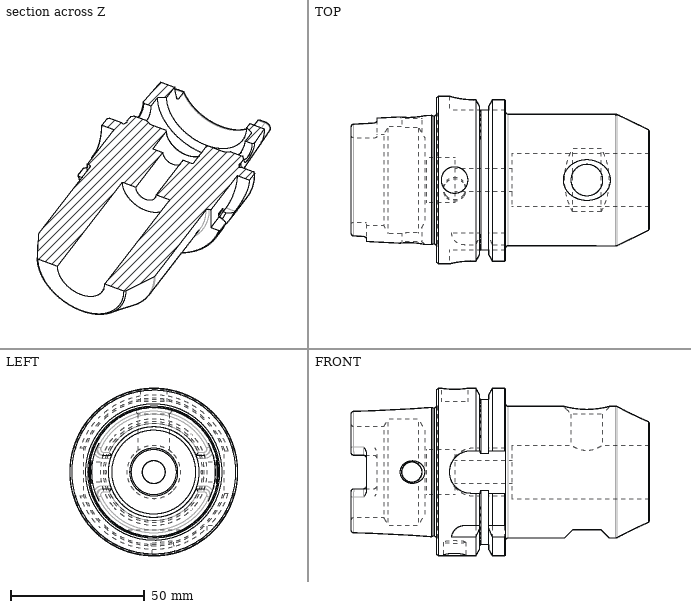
import cadquery as cq
import math

OVERCUT = 1.1
SEARCH_MARGIN = 0.1

LENGTH = 112.0
FLANGE_START = 32.0
FLANGE_END = 58.0

TAPER_END_X = 30.1
TAPER_END_DIA = 48.6
TAPER_SLOPE = 0.05
TAPER_EDGE_RADIUS = 1.1
RELIEF_DIA = 48.2
RELIEF_START_X = 30.8
RELIEF_END_X = 31.4
FACE_RECESS_DIA = 51.2
FACE_RECESS_ROOT_DIA = 49.5
FACE_RECESS_DEPTH = 0.5

FLANGE_DIA = 63.0
FLANGE_FRONT_CHAMFER = 0.73
FLANGE_BACK_CHAMFER = 0.3
GROOVE_FLOOR_RADIUS = 27.2
GROOVE_FLOOR_START = 48.3
GROOVE_FLOOR_END = 51.6
GROOVE_FLANK_RADIUS = 29.0
GROOVE_FLANK_ANGLE = 30.0
GROOVE_ROOT_FILLET = 0.6

SHANK_DIA = 49.5
SHANK_ROOT_FILLET = 0.9
NOSE_START = 99.6
NOSE_END_X = 111.5
NOSE_END_RADIUS = 18.9
NOSE_FACE_RADIUS = 18.3
NOSE_BLEND_RADIUS = 1.5

BORE_DIA = 34.0
BORE_MOUTH_RADIUS = 1.2
CLAMP_SHOULDER_X = 12.3
CLAMP_RECESS_DIA = 40.0
CLAMP_SHOULDER_LENGTH = 1.7
CLAMP_RECESS_END_X = 25.3
BORE_FLOOR_X = 27.8
BORE_FLOOR_DIA = 31.5
TUBE_SEAT_DIA = 16.9
TUBE_SEAT_MOUTH_DIA = 18.0
TUBE_SEAT_DEPTH = 11.2
COOLANT_DIA = 8.5
TOOL_BORE_DIA = 20.0
TOOL_BORE_DEPTH = 51.5

END_SLOT_WIDTH = 12.5
END_SLOTS = ((-1, 5.8), (1, 9.7))
END_SLOT_FLARE_RADIUS = 2.2
END_SLOT_FLOOR_FILLET = 1.1

ACCESS_X = 22.8
ACCESS_DIA = 7.5
ACCESS_MOUTH_DIA = 10.0
ACCESS_CONE_START = 23.1

KEYWAY_END_X = 37.0
KEYWAYS = ((-1, 15.9), (1, 18.0))
KEYWAY_FLOOR_Y = 26.3
NOTCH_END_X = 37.6
NOTCH_WIDTH = 10.1
NOTCH_Z = -25.1
NOTCH_FLOOR_Y = 19.9

POCKET_X = 38.9
POCKET_DEPTH = 5.0
RIM_POCKETS = ((10.0, 0), (8.4, 173.2))

SCREW_X = 88.5
SCREW_DIA = 11.9
SCREW_MOUTH_DIA = 18.5
SCREW_CONE_START = 21.8
FLAT_WIDTH = 10.8
FLAT_Z = -21.7

flange_radius = FLANGE_DIA / 2
shank_radius = SHANK_DIA / 2
relief_radius = RELIEF_DIA / 2
taper_large_radius = TAPER_END_DIA / 2
taper_small_radius = taper_large_radius - TAPER_SLOPE * TAPER_END_X


def revolve_about_x(profile):
    return profile.close().revolve(360, (0, 0, 0), (1, 0, 0))


def make_body():
    """Solid outer shape: taper, grooved flange, shank and conical nose."""
    flank_length = (flange_radius - GROOVE_FLANK_RADIUS) * math.tan(math.radians(GROOVE_FLANK_ANGLE))
    body = revolve_about_x(
        cq.Workplane("XY")
        .moveTo(0, 0)
        .lineTo(0, taper_small_radius)
        .lineTo(TAPER_END_X, taper_large_radius)
        .lineTo(RELIEF_START_X, relief_radius)
        .lineTo(RELIEF_END_X, relief_radius)
        .lineTo(FLANGE_START + FACE_RECESS_DEPTH, FACE_RECESS_ROOT_DIA / 2)
        .lineTo(FLANGE_START, FACE_RECESS_DIA / 2)
        .lineTo(FLANGE_START, flange_radius - FLANGE_FRONT_CHAMFER)
        .lineTo(FLANGE_START + FLANGE_FRONT_CHAMFER, flange_radius)
        .lineTo(GROOVE_FLOOR_START - flank_length, flange_radius)
        .lineTo(GROOVE_FLOOR_START, GROOVE_FLANK_RADIUS)
        .lineTo(GROOVE_FLOOR_START, GROOVE_FLOOR_RADIUS + GROOVE_ROOT_FILLET)
        .radiusArc((GROOVE_FLOOR_START + GROOVE_ROOT_FILLET, GROOVE_FLOOR_RADIUS), -GROOVE_ROOT_FILLET)
        .lineTo(GROOVE_FLOOR_END, GROOVE_FLOOR_RADIUS)
        .lineTo(GROOVE_FLOOR_END, GROOVE_FLANK_RADIUS)
        .lineTo(GROOVE_FLOOR_END + flank_length, flange_radius)
        .lineTo(FLANGE_END - FLANGE_BACK_CHAMFER, flange_radius)
        .lineTo(FLANGE_END, flange_radius - FLANGE_BACK_CHAMFER)
        .lineTo(FLANGE_END, shank_radius + SHANK_ROOT_FILLET)
        .radiusArc((FLANGE_END + SHANK_ROOT_FILLET, shank_radius), -SHANK_ROOT_FILLET)
        .lineTo(NOSE_START, shank_radius)
        .lineTo(NOSE_END_X, NOSE_END_RADIUS)
        .lineTo(LENGTH, NOSE_FACE_RADIUS)
        .lineTo(LENGTH, 0)
    )
    nose_edge = cq.selectors.BoxSelector(
        (NOSE_START - SEARCH_MARGIN, -LENGTH, -LENGTH),
        (NOSE_START + SEARCH_MARGIN, LENGTH, LENGTH),
        boundingbox=True,
    )
    return body.edges(nose_edge).fillet(NOSE_BLEND_RADIUS)


def edges_within(x_range, y_range, half_z):
    """Selector for the edges whose middle lies in the given box."""
    y_min, y_max = sorted(y_range)
    return cq.selectors.BoxSelector((x_range[0], y_min, -half_z), (x_range[1], y_max, half_z))


def cut_end_slots(body):
    """Two drive slots with flared outer corners, then the rounded rim of the taper end."""
    half_z = END_SLOT_WIDTH / 2 + SEARCH_MARGIN
    for side, depth in END_SLOTS:
        slot = (
            cq.Workplane("XY")
            .box(2 * depth, flange_radius, END_SLOT_WIDTH)
            .translate((0, side * flange_radius / 2, 0))
        )
        body = body.cut(slot)
    for side, depth in END_SLOTS:
        wall_x = (SEARCH_MARGIN, depth - SEARCH_MARGIN)
        wall_edges = edges_within(wall_x, (side * BORE_DIA / 2, side * flange_radius), half_z)
        body = body.edges(wall_edges).fillet(END_SLOT_FLARE_RADIUS)
    for side, depth in END_SLOTS:
        floor_x = (depth - SEARCH_MARGIN, depth + SEARCH_MARGIN)
        floor_edges = edges_within(floor_x, (0, side * flange_radius), half_z)
        body = body.edges("|Y").edges(floor_edges).fillet(END_SLOT_FLOOR_FILLET)
    return body.faces("<X").edges().fillet(TAPER_EDGE_RADIUS)


def make_hollow():
    """Everything bored along the axis, from the taper mouth through to the tool end."""
    bore_radius = BORE_DIA / 2
    clamp_radius = CLAMP_RECESS_DIA / 2
    seat_end = BORE_FLOOR_X + TUBE_SEAT_DEPTH
    seat_chamfer = (TUBE_SEAT_MOUTH_DIA - TUBE_SEAT_DIA) / 2
    tool_bore_floor = LENGTH - TOOL_BORE_DEPTH
    return revolve_about_x(
        cq.Workplane("XY")
        .moveTo(0, 0)
        .lineTo(0, bore_radius + BORE_MOUTH_RADIUS)
        .radiusArc((BORE_MOUTH_RADIUS, bore_radius), -BORE_MOUTH_RADIUS)
        .lineTo(CLAMP_SHOULDER_X, bore_radius)
        .lineTo(CLAMP_SHOULDER_X + CLAMP_SHOULDER_LENGTH, clamp_radius)
        .lineTo(CLAMP_RECESS_END_X, clamp_radius)
        .lineTo(BORE_FLOOR_X, BORE_FLOOR_DIA / 2)
        .lineTo(BORE_FLOOR_X, TUBE_SEAT_MOUTH_DIA / 2)
        .lineTo(BORE_FLOOR_X + seat_chamfer, TUBE_SEAT_DIA / 2)
        .lineTo(seat_end, TUBE_SEAT_DIA / 2)
        .lineTo(seat_end, COOLANT_DIA / 2)
        .lineTo(tool_bore_floor, COOLANT_DIA / 2)
        .lineTo(tool_bore_floor, TOOL_BORE_DIA / 2)
        .lineTo(LENGTH, TOOL_BORE_DIA / 2)
        .lineTo(LENGTH, 0)
    )


def make_keyway(end_x, width, z, floor_y, side):
    """Slot with a full-round end, open toward +X at the back of the flange."""
    radius = width / 2
    return (
        cq.Workplane("XZ", origin=(0, side * floor_y, z))
        .moveTo(FLANGE_END, radius)
        .lineTo(end_x + radius, radius)
        .threePointArc((end_x, 0), (end_x + radius, -radius))
        .lineTo(FLANGE_END, -radius)
        .close()
        .extrude(-side * (flange_radius - floor_y + OVERCUT))
    )


def make_rim_pocket(dia, turn):
    """Flat-bottomed round pocket at +Z, turned about X by the given angle."""
    return (
        cq.Workplane("XY", origin=(POCKET_X, 0, flange_radius - POCKET_DEPTH))
        .circle(dia / 2)
        .extrude(POCKET_DEPTH + OVERCUT)
        .rotate((0, 0, 0), (1, 0, 0), turn)
    )


def make_countersunk_hole(x, dia, mouth_dia, cone_start, turn):
    """Hole from the axis out to +Z with a 90 degree countersink, turned about X by the given angle."""
    cone_end = cone_start + (mouth_dia - dia) / 2
    return (
        cq.Workplane("XZ")
        .moveTo(0, 0)
        .lineTo(dia / 2, 0)
        .lineTo(dia / 2, cone_start)
        .lineTo(mouth_dia / 2, cone_end)
        .lineTo(0, cone_end)
        .close()
        .revolve(360, (0, 0, 0), (0, 1, 0))
        .translate((x, 0, 0))
        .rotate((0, 0, 0), (1, 0, 0), turn)
    )


def make_balance_flat():
    """Flat with 45 degree ends, cut straight across the shank below the screw."""
    half_width = FLAT_WIDTH / 2
    drop = shank_radius + FLAT_Z + OVERCUT
    return (
        cq.Workplane("XZ", origin=(SCREW_X, 0, FLAT_Z))
        .moveTo(-half_width, 0)
        .lineTo(half_width, 0)
        .lineTo(half_width + drop, -drop)
        .lineTo(-half_width - drop, -drop)
        .close()
        .extrude(shank_radius, both=True)
    )


result = cut_end_slots(make_body())
result = result.cut(make_hollow())

for turn in (90, -90):
    access_hole = make_countersunk_hole(ACCESS_X, ACCESS_DIA, ACCESS_MOUTH_DIA, ACCESS_CONE_START, turn)
    result = result.cut(access_hole)

for side, width in KEYWAYS:
    result = result.cut(make_keyway(KEYWAY_END_X, width, 0, KEYWAY_FLOOR_Y, side))
result = result.cut(make_keyway(NOTCH_END_X, NOTCH_WIDTH, NOTCH_Z, NOTCH_FLOOR_Y, -1))

for dia, turn in RIM_POCKETS:
    result = result.cut(make_rim_pocket(dia, turn))

result = result.cut(make_countersunk_hole(SCREW_X, SCREW_DIA, SCREW_MOUTH_DIA, SCREW_CONE_START, 0))
result = result.cut(make_balance_flat())